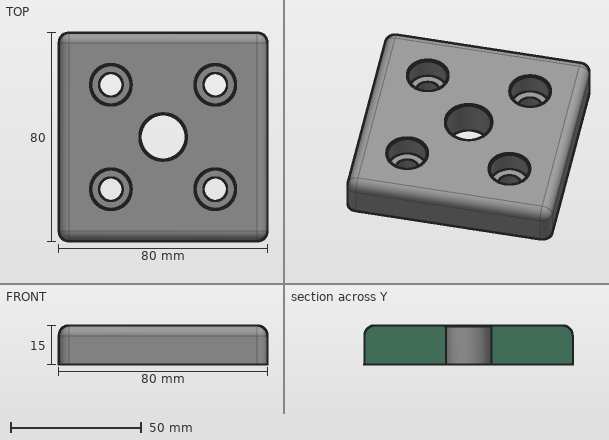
import cadquery as cq

side = 80.0
thickness = 15.0
edge_radius = 4.0

bore_diameter = 17.3
screw_diameter = 9.0
counterbore_diameter = 15.0
counterbore_depth = 9.0
screw_spacing = side / 2
rim_chamfer = 0.5


def chamfered_cutter(diameter, depth):
    """Cylinder going down from the top face, flared at the top to chamfer the rim."""
    radius = diameter / 2
    profile = [
        (0, thickness),
        (radius + rim_chamfer, thickness),
        (radius, thickness - rim_chamfer),
        (radius, thickness - depth),
        (0, thickness - depth),
    ]
    return cq.Workplane("XZ").polyline(profile).close().revolve(360, (0, 0, 0), (0, 1, 0))


plate = cq.Workplane("XY").box(side, side, thickness, centered=(True, True, False))
plate = plate.edges("|Z").fillet(edge_radius)
plate = plate.faces(">Z").edges().fillet(edge_radius)

plate = plate.cut(chamfered_cutter(bore_diameter, thickness))

screw_cutter = chamfered_cutter(counterbore_diameter, counterbore_depth).union(
    cq.Workplane("XY").circle(screw_diameter / 2).extrude(thickness)
)
for x_sign in (-1, 1):
    for y_sign in (-1, 1):
        position = (x_sign * screw_spacing / 2, y_sign * screw_spacing / 2, 0)
        plate = plate.cut(screw_cutter.translate(position))

result = plate